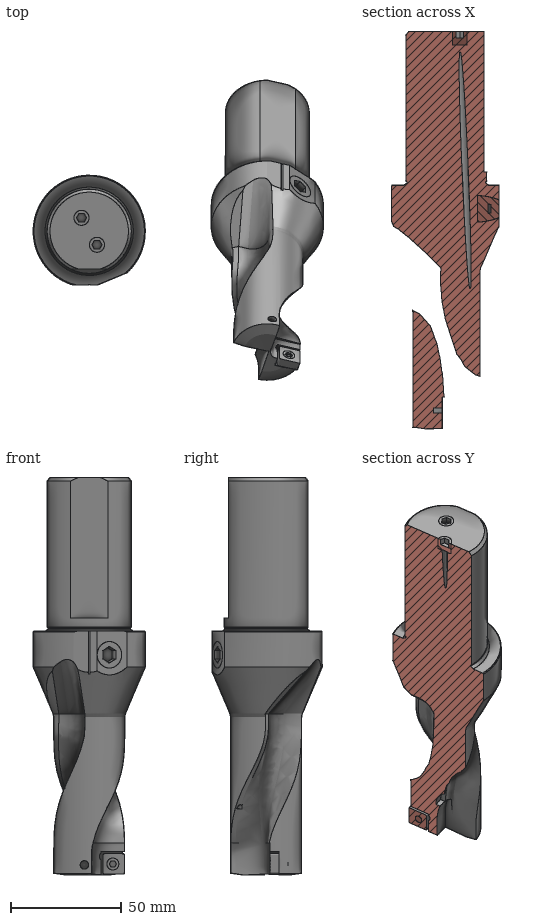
import cadquery as cq
import math

tip_z = 0.0
drill_top_z = 71.4
cone_bottom_z = 73.0
collar_bottom_z = 94.1
collar_top_z = 110.4
shank_bottom_z = 112.2
total_height = 180.01

drill_radius = 16.1
cone_foot_step = 0.3
collar_radius = 25.4
collar_edge_chamfer = 0.4
shank_radius = 19.05
neck_radius = 18.6
neck_foot_radius = 20.0
neck_foot_height = 1.0
neck_lip = 0.4
shank_chamfer_width = 1.3
shank_chamfer_height = 1.7
tip_ridge_radius = 10.7
tip_centre_rise = 0.5
tip_rim_rise = 0.8

shank_flat_distance = 17.1
shank_flat_bottom_z = 116.4
collar_flat_distance = 24.4
plug_flat_distance = 23.9
plug_flat_angle = 22.5
index_mark_width = 0.8
index_mark_depth = 0.3

flute_twist = 90.0
twist_start_z = 9.0
twist_end_z = 67.0
flute_sections = 12
leading_wall_top = 2.0
leading_wall_tip = -0.8
trailing_wall = 1.1
corner_radius_top = 7.3
corner_radius_tip = 2.3
lip_start = 13.8
lip_slope_top = 0.6
lip_slope_tip = 0.0
flute_reach = 19.0
below_tip = 1.0
runout_height = 26.0
runout_lean_x = -0.15
runout_lean_y = -0.88
runout_reach = 30.0

seat_wall = 1.6
seat_floor = 1.8
seat_height = 14.5
seat_corner_radius = 2.6
chip_pocket_deepening = 1.6
chip_pocket_height = 18.8
chip_pocket_straight_height = 9.8
chip_scoop_radius = 10.0
chip_scoop_depth_x = 1.2
chip_scoop_floor_y = 2.0
land_hole_x = -2.2
land_hole_z = 4.6
land_hole_radius = 1.9
land_hole_depth = 6.0

insert_inner_x = 6.2
insert_outer_x = 16.0
insert_bottom_z = 0.4
insert_top_z = 9.7
insert_thickness = 4.0
insert_corner_radius = 0.8
insert_clearance = 0.9
relief_x = 6.8
relief_z = 8.4
relief_radius = 2.2
insert_screw_x = 10.7
insert_screw_z = 5.0
screw_head_radius = 2.7
screw_head_height = 1.8
screw_shaft_radius = 1.6
screw_length = 8.0
screw_socket_flats = 2.8
screw_socket_depth = 1.0

end_plug_x = 3.5
end_plug_y = -6.1
end_plug_radius = 3.4
end_plug_length = 6.0
end_plug_socket_flats = 4.0
end_plug_socket_depth = 3.0
side_plug_z = 99.7
side_plug_radius = 6.0
side_plug_length = 9.0
side_plug_socket_flats = 6.35
side_plug_socket_depth = 4.5
coolant_radius = 1.3
coolant_exit_x = 7.0
coolant_exit_y = -12.2
coolant_exit_z = 30.0


def block(x_range, y_range, z_range):
    """A box given by its lower and upper limit along each axis."""
    size = [high - low for low, high in (x_range, y_range, z_range)]
    corner = (x_range[0], y_range[0], z_range[0])
    return cq.Workplane("XY").box(*size, centered=False).translate(corner)


def half_turn(shape):
    return shape.rotate((0, 0, 0), (0, 0, 1), 180)


def socket_plug(plane, radius, length, socket_flats, socket_depth):
    """A cylinder behind the plane's origin with a hexagon socket in its front face."""
    plug = cq.Workplane(plane).circle(radius).extrude(-length)
    corner_diameter = socket_flats / math.cos(math.radians(30))
    socket = cq.Workplane(plane).polygon(6, corner_diameter).extrude(-socket_depth)
    return plug.cut(socket)


def turned_blank():
    profile = [
        (0, tip_z + tip_centre_rise),
        (tip_ridge_radius, tip_z),
        (drill_radius, tip_z + tip_rim_rise),
        (drill_radius, drill_top_z),
        (drill_radius + cone_foot_step, cone_bottom_z),
        (collar_radius, collar_bottom_z),
        (collar_radius, collar_top_z - collar_edge_chamfer),
        (collar_radius - collar_edge_chamfer, collar_top_z),
        (neck_foot_radius, collar_top_z),
        (neck_radius, collar_top_z + neck_foot_height),
        (neck_radius, shank_bottom_z - neck_lip),
        (shank_radius, shank_bottom_z),
        (shank_radius, total_height - shank_chamfer_height),
        (shank_radius - shank_chamfer_width, total_height),
        (0, total_height),
    ]
    return cq.Workplane("XZ").polyline(profile).close().revolve(360, (0, 0, 0), (0, 1, 0))


def side_flat(distance, z_range, angle=0):
    """Material beyond a plane facing -Y, turned about Z by the angle."""
    beyond = block((-collar_radius, collar_radius), (-2 * collar_radius, -distance), z_range)
    return beyond.rotate((0, 0, 0), (0, 0, 1), angle)


def collar_flats():
    z_range = (cone_bottom_z, collar_top_z)
    plain = side_flat(collar_flat_distance, z_range)
    return plain.union(side_flat(plug_flat_distance, z_range, plug_flat_angle))


def index_mark():
    return block(
        (-index_mark_width / 2, index_mark_width / 2),
        (-collar_radius, -collar_flat_distance + index_mark_depth),
        (cone_bottom_z, collar_top_z),
    )


def twist_share(z):
    """Part of the twist done at a height: 0 at the tip, 1 at the top, with an easy start and end."""
    share = (z - twist_start_z) / (twist_end_z - twist_start_z)
    share = min(max(share, 0), 1)
    return share**2 * (3 - 2 * share)


def blend(at_tip, at_top, share):
    return at_tip + (at_top - at_tip) * share


def flute_wire(z, reach, shift_x=0.0, shift_y=0.0):
    """Flute cross section at its upper orientation, open towards -X and -Y."""
    share = twist_share(z)
    leading_wall = blend(leading_wall_tip, leading_wall_top, share)
    corner_radius = blend(corner_radius_tip, corner_radius_top, share)
    lip_slope = blend(lip_slope_tip, lip_slope_top, share)
    arc_x = -leading_wall - corner_radius
    arc_y = -trailing_wall - corner_radius
    half_chord = corner_radius * math.sqrt(0.5)
    section = (
        cq.Workplane("XY")
        .moveTo(-leading_wall, -reach)
        .lineTo(-leading_wall, arc_y)
        .threePointArc((arc_x + half_chord, arc_y + half_chord), (arc_x, -trailing_wall))
        .lineTo(-lip_start, -trailing_wall)
        .lineTo(-reach, -trailing_wall + lip_slope * (reach - lip_start))
        .lineTo(-reach, -reach)
        .close()
    )
    return section.val().translate(cq.Vector(shift_x, shift_y, z))


def twisted_flute():
    """Flute along the drill, from below the tip to the foot of the cone."""
    flute_bottom_z = tip_z - below_tip
    step = (cone_bottom_z - flute_bottom_z) / flute_sections
    axis_start = cq.Vector(0, 0, 0)
    axis_end = cq.Vector(0, 0, 1)
    wires = []
    for index in range(flute_sections + 1):
        z = flute_bottom_z + step * index
        turn = flute_twist * (twist_share(z) - 1)
        wires.append(flute_wire(z, flute_reach).rotate(axis_start, axis_end, turn))
    return cq.Workplane(cq.Solid.makeLoft(wires))


def flute_runout():
    """Straight end of the flute, leaning outwards through the cone."""
    start = flute_wire(cone_bottom_z, runout_reach)
    end = flute_wire(
        cone_bottom_z + runout_height,
        runout_reach,
        runout_lean_x * runout_height,
        runout_lean_y * runout_height,
    )
    return cq.Workplane(cq.Solid.makeLoft([start, end], True))


def insert_seat():
    seat = block((seat_wall, flute_reach), (-flute_reach, seat_floor), (-below_tip, seat_height))
    return seat.edges("|Z and <X and >Y").fillet(seat_corner_radius)


def chip_pocket():
    """Deeper flute wall at the tip, curving back out to the flute above it."""
    wall_x = chip_pocket_deepening - trailing_wall
    profile = (
        cq.Workplane("XZ", origin=(0, leading_wall_tip, 0))
        .moveTo(-flute_reach, -below_tip)
        .lineTo(wall_x, -below_tip)
        .lineTo(wall_x, chip_pocket_straight_height)
        .tangentArcPoint((-trailing_wall, chip_pocket_height), relative=False)
        .lineTo(-flute_reach, chip_pocket_height)
        .close()
    )
    return profile.extrude(-flute_reach)


def chip_scoop():
    """Round hollow in the flute wall, deepest at the top of the chip pocket and fading upwards."""
    centre_x = chip_scoop_depth_x - chip_scoop_radius
    half_chord = chip_scoop_radius * math.sqrt(0.5)
    quarter = (
        cq.Workplane("XZ", origin=(centre_x, chip_scoop_floor_y, chip_pocket_height))
        .lineTo(chip_scoop_radius, 0)
        .threePointArc((half_chord, half_chord), (0, chip_scoop_radius))
        .close()
    )
    return quarter.extrude(-flute_reach)


def insert_pocket():
    pocket = block(
        (insert_inner_x - insert_clearance, flute_reach),
        (-flute_reach, seat_floor + insert_thickness),
        (-below_tip, insert_top_z + insert_clearance),
    )
    relief = (
        cq.Workplane("XZ", origin=(relief_x, seat_floor + insert_thickness, relief_z))
        .circle(relief_radius)
        .extrude(flute_reach)
    )
    return pocket.union(relief)


def land_hole():
    return (
        cq.Workplane("XZ", origin=(land_hole_x, -drill_radius + land_hole_depth, land_hole_z))
        .circle(land_hole_radius)
        .extrude(flute_reach)
    )


screw_plane = cq.Plane(
    origin=(insert_screw_x, seat_floor, insert_screw_z), xDir=(1, 0, 0), normal=(0, -1, 0)
)


def screw_outline():
    head = cq.Workplane(screw_plane).circle(screw_head_radius).extrude(-screw_head_height)
    return head.union(cq.Workplane(screw_plane).circle(screw_shaft_radius).extrude(-screw_length))


def cutting_insert():
    insert = block(
        (insert_inner_x, insert_outer_x),
        (seat_floor, seat_floor + insert_thickness),
        (insert_bottom_z, insert_top_z),
    )
    return insert.edges("|Y").fillet(insert_corner_radius).cut(screw_outline())


def insert_screw():
    head = socket_plug(
        screw_plane, screw_head_radius, screw_head_height, screw_socket_flats, screw_socket_depth
    )
    shaft = (
        cq.Workplane(screw_plane)
        .workplane(offset=-screw_head_height)
        .circle(screw_shaft_radius)
        .extrude(-(screw_length - screw_head_height))
    )
    return head.union(shaft)


def end_plug():
    plane = cq.Plane(origin=(end_plug_x, end_plug_y, total_height))
    return socket_plug(
        plane, end_plug_radius, end_plug_length, end_plug_socket_flats, end_plug_socket_depth
    )


def side_plug_plane():
    turn = math.radians(plug_flat_angle)
    outward = cq.Vector(math.sin(turn), -math.cos(turn), 0)
    centre = outward * plug_flat_distance + cq.Vector(0, 0, side_plug_z)
    return cq.Plane(origin=centre, xDir=(0, 0, 1), normal=outward)


def coolant_bore():
    """A bore from beneath an end plug down to its exit in the flute wall."""
    start = cq.Vector(end_plug_x, end_plug_y, total_height - end_plug_length)
    run = cq.Vector(coolant_exit_x, coolant_exit_y, coolant_exit_z) - start
    return cq.Workplane(cq.Solid.makeCylinder(coolant_radius, run.Length, start, run))


side_plug = socket_plug(
    side_plug_plane(), side_plug_radius, side_plug_length, side_plug_socket_flats, side_plug_socket_depth
)
end_plugs = [end_plug(), half_turn(end_plug())]
insert = cutting_insert()
screw = insert_screw()

body = turned_blank()
body = body.cut(side_flat(shank_flat_distance, (shank_flat_bottom_z, total_height)))
body = body.cut(collar_flats()).cut(index_mark())
for flute_part in (twisted_flute(), flute_runout()):
    body = body.cut(flute_part).cut(half_turn(flute_part))
body = body.cut(insert_seat()).cut(chip_pocket()).cut(chip_scoop())
body = body.cut(insert_pocket()).cut(land_hole())
body = body.cut(screw_outline())
body = body.cut(cq.Workplane(side_plug_plane()).circle(side_plug_radius).extrude(-side_plug_length))
end_recess = (
    cq.Workplane("XY", origin=(end_plug_x, end_plug_y, total_height))
    .circle(end_plug_radius)
    .extrude(-end_plug_length)
)
for tool in (end_recess, coolant_bore()):
    body = body.cut(tool).cut(half_turn(tool))

result = cq.Compound.makeCompound(
    [body.val(), side_plug.val(), *[plug.val() for plug in end_plugs], insert.val(), screw.val()]
)